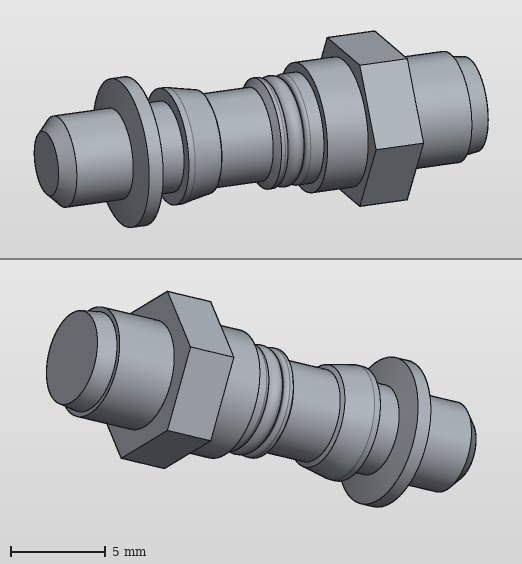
import cadquery as cq
import math

length = 24.3

nose_start_radius = 2.55
nose_end_radius = 2.72
nose_end = 1.12
body_radius = 3.0

hex_across_flats = 8.0
hex_start = 4.55
hex_end = 7.27

shoulder_radius = 3.5
shoulder_end = 9.6

groove_start = 10.6
groove_end = 11.57
groove_floor_radius = 2.48
lip_round = 0.25
seal_section_radius = 0.5
seal_center_at = (groove_start + groove_end) / 2
seal_center_radius = body_radius - seal_section_radius

land_end = 12.03
land_chamfer_end = 12.32
neck_radius = 2.53

collar_start = 15.25
collar_face_end = 15.38
collar_face_radius = 2.8
collar_flare_end = 17.03
collar_end = 17.4
collar_radius = 3.13

stem_radius = 2.45
tip_start = 23.55
tip_radius = 1.73

disc_start = 19.0
disc_rim_start = 19.22
disc_rim_end = 20.02
disc_end = 20.31
disc_radius = hex_across_flats / 2


def revolve_about_axis(profile):
    """Turn a closed (radius, y) profile in the XY plane about the Y axis."""
    return profile.close().revolve(360, (0, 0, 0), (0, 1, 0))


def make_shaft():
    """Complete turned outline, from the rear end to the tip."""
    diagonal = lip_round * math.sqrt(0.5)
    lip_center_radius = body_radius - lip_round
    rear_lip_at = groove_start - lip_round
    front_lip_at = groove_end + lip_round
    rear_lip_middle = (lip_center_radius + diagonal, -rear_lip_at - diagonal)
    front_lip_middle = (lip_center_radius + diagonal, -front_lip_at + diagonal)
    profile = (
        cq.Workplane("XY")
        .lineTo(nose_start_radius, 0)
        .lineTo(nose_end_radius, -nose_end)
        .lineTo(body_radius, -nose_end)
        .lineTo(body_radius, -hex_end)
        .lineTo(shoulder_radius, -hex_end)
        .lineTo(shoulder_radius, -shoulder_end)
        .lineTo(body_radius, -shoulder_end)
        .lineTo(body_radius, -rear_lip_at)
        .threePointArc(rear_lip_middle, (lip_center_radius, -groove_start))
        .lineTo(groove_floor_radius, -groove_start)
        .lineTo(groove_floor_radius, -groove_end)
        .lineTo(lip_center_radius, -groove_end)
        .threePointArc(front_lip_middle, (body_radius, -front_lip_at))
        .lineTo(body_radius, -land_end)
        .lineTo(neck_radius, -land_chamfer_end)
        .lineTo(neck_radius, -collar_start)
        .lineTo(collar_face_radius, -collar_face_end)
        .lineTo(collar_radius, -collar_flare_end)
        .lineTo(collar_radius, -collar_end)
        .lineTo(stem_radius, -collar_end)
        .lineTo(stem_radius, -disc_start)
        .lineTo(disc_radius, -disc_rim_start)
        .lineTo(disc_radius, -disc_rim_end)
        .lineTo(stem_radius, -disc_end)
        .lineTo(stem_radius, -tip_start)
        .lineTo(tip_radius, -length)
        .lineTo(0, -length)
    )
    return revolve_about_axis(profile)


def make_seal_ring():
    """Round-section ring, flush with the land and reaching into the shaft."""
    section_plane = cq.Plane(
        origin=(seal_center_radius, -seal_center_at, 0), xDir=(-1, 0, 0), normal=(0, 0, 1)
    )
    section = cq.Workplane(section_plane).circle(seal_section_radius)
    return section.revolve(360, (seal_center_radius, 0, 0), (seal_center_radius, 1, 0))


def make_hexagon():
    """Hexagonal prism with corners on +X and -X."""
    across_corners = hex_across_flats / math.cos(math.pi / 6)
    return (
        cq.Workplane("XZ", origin=(0, -hex_start, 0))
        .polygon(6, across_corners)
        .extrude(hex_end - hex_start)
    )


result = make_shaft().union(make_hexagon()).union(make_seal_ring())